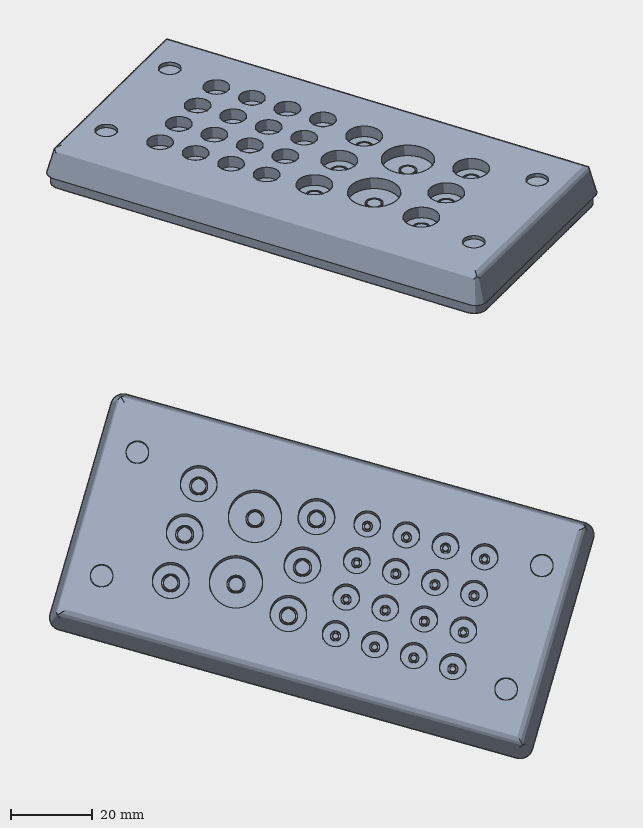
import cadquery as cq

length = 123.0
width = 61.0
height = 11.0

plinth_height = 3.0
plinth_inset = 0.6
plinth_corner_radius = 3.5

body_height = height - plinth_height
body_corner_radius = 3.2
draft_angle = 15.0
top_edge_radius = 2.6

recess_depth = 3.1
groove_depth = 1.0

small_recess_diameter = 6.5
small_groove_diameter = 2.5
small_pin_diameter = 1.5
small_columns = 4
small_rows = 4
small_pitch_x = 10.0
small_pitch_y = 9.5
small_centre_x = -22.5

medium_recess_diameter = 9.0
large_recess_diameter = 13.0
wide_groove_diameter = 4.4
wide_pin_diameter = 3.6
medium_columns = 2
medium_rows = 3
medium_pitch_x = 30.0
medium_pitch_y = 12.5
medium_centre_x = 19.9
large_columns = 1
large_rows = 2
large_pitch_y = 17.0
large_centre_x = 19.4

corner_hole_diameter = 5.5
corner_hole_depth = 1.0
corner_hole_spacing_x = 103.1
corner_hole_spacing_y = 32.0


def make_plinth():
    return (
        cq.Workplane("XY")
        .rect(length - 2 * plinth_inset, width - 2 * plinth_inset)
        .extrude(plinth_height)
        .edges("|Z")
        .fillet(plinth_corner_radius)
    )


def make_body():
    """Mitred block with rounded top edges, trimmed to the conical rounded corners."""
    mitred_block = (
        cq.Workplane("XY", origin=(0, 0, plinth_height))
        .rect(length, width)
        .extrude(body_height, taper=draft_angle)
        .faces(">Z")
        .edges()
        .fillet(top_edge_radius)
    )
    outline = cq.Sketch().rect(length, width).vertices().fillet(body_corner_radius)
    rounded_block = (
        cq.Workplane("XY", origin=(0, 0, plinth_height))
        .placeSketch(outline)
        .extrude(body_height, taper=draft_angle)
    )
    return mitred_block.intersect(rounded_block)


def grid(centre_x, columns, rows, pitch_x, pitch_y):
    """Points of a grid centred on (centre_x, 0)."""
    return [
        (
            centre_x + (column - (columns - 1) / 2) * pitch_x,
            (row - (rows - 1) / 2) * pitch_y,
        )
        for column in range(columns)
        for row in range(rows)
    ]


def cut_holes(part, points, diameter, depth):
    cutter = (
        cq.Workplane("XY", origin=(0, 0, height))
        .pushPoints(points)
        .circle(diameter / 2)
        .extrude(-depth)
    )
    return part.cut(cutter)


def cut_recesses(part, points, recess_diameter, groove_diameter, pin_diameter):
    """Round recesses, each with a ring groove that leaves a pin level with the floor."""
    part = cut_holes(part, points, recess_diameter, recess_depth)
    grooves = (
        cq.Workplane("XY", origin=(0, 0, height - recess_depth))
        .pushPoints(points)
        .circle(groove_diameter / 2)
        .circle(pin_diameter / 2)
        .extrude(-groove_depth)
    )
    return part.cut(grooves)


small_points = grid(small_centre_x, small_columns, small_rows, small_pitch_x, small_pitch_y)
medium_points = grid(medium_centre_x, medium_columns, medium_rows, medium_pitch_x, medium_pitch_y)
large_points = grid(large_centre_x, large_columns, large_rows, 0, large_pitch_y)
corner_points = grid(0, 2, 2, corner_hole_spacing_x, corner_hole_spacing_y)

result = make_plinth().union(make_body())
result = cut_recesses(
    result, small_points, small_recess_diameter, small_groove_diameter, small_pin_diameter
)
result = cut_recesses(
    result, medium_points, medium_recess_diameter, wide_groove_diameter, wide_pin_diameter
)
result = cut_recesses(
    result, large_points, large_recess_diameter, wide_groove_diameter, wide_pin_diameter
)
result = cut_holes(result, corner_points, corner_hole_diameter, corner_hole_depth)